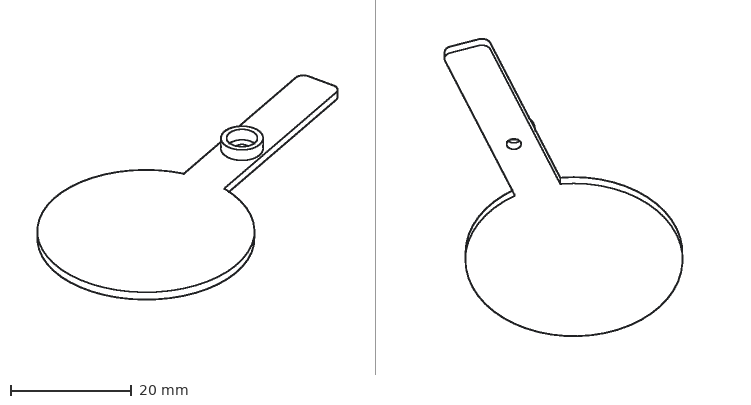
import cadquery as cq

disc_diameter = 36.0
plate_thickness = 1.5

handle_width = 8.0
handle_end_y = 52.81
handle_corner_radius = 1.5

ring_center_y = 29.0
ring_outer_diameter = 7.0
ring_height = 2.1
bore_diameter = 5.1
hole_diameter = 2.4

total_height = plate_thickness + ring_height


def make_plate():
    disc = cq.Workplane("XY").circle(disc_diameter / 2).extrude(plate_thickness)
    handle = (
        cq.Workplane("XY")
        .center(0, handle_end_y / 2)
        .rect(handle_width, handle_end_y)
        .extrude(plate_thickness)
        .edges("|Z and >Y")
        .fillet(handle_corner_radius)
    )
    return disc.union(handle)


def ring_cylinder(diameter, bottom_z, top_z):
    """Vertical cylinder on the ring axis between two heights."""
    return (
        cq.Workplane("XY", origin=(0, ring_center_y, bottom_z))
        .circle(diameter / 2)
        .extrude(top_z - bottom_z)
    )


ring = ring_cylinder(ring_outer_diameter, 0, total_height)
bore = ring_cylinder(bore_diameter, plate_thickness, total_height)
hole = ring_cylinder(hole_diameter, 0, total_height)

result = make_plate().union(ring).cut(bore).cut(hole)